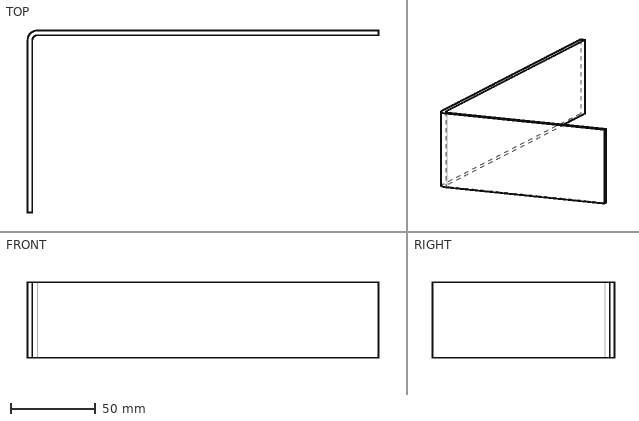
import cadquery as cq

long_leg = 208.0
short_leg = 108.0
height = 45.0

thickness = 3.0
inner_radius = 3.0
outer_radius = inner_radius + thickness


def leg(length_x, length_y):
    """Flat leg reaching from the outer corner at the origin towards +X and -Y."""
    return cq.Workplane("XY").box(length_x, length_y, height, centered=False).translate((0, -length_y, 0))


sharp_angle = leg(long_leg, thickness).union(leg(thickness, short_leg))

outer_corner = cq.selectors.NearestToPointSelector((0, 0, height / 2))
inner_corner = cq.selectors.NearestToPointSelector((thickness, -thickness, height / 2))
result = sharp_angle.edges(inner_corner).fillet(inner_radius)
result = result.edges(outer_corner).fillet(outer_radius)